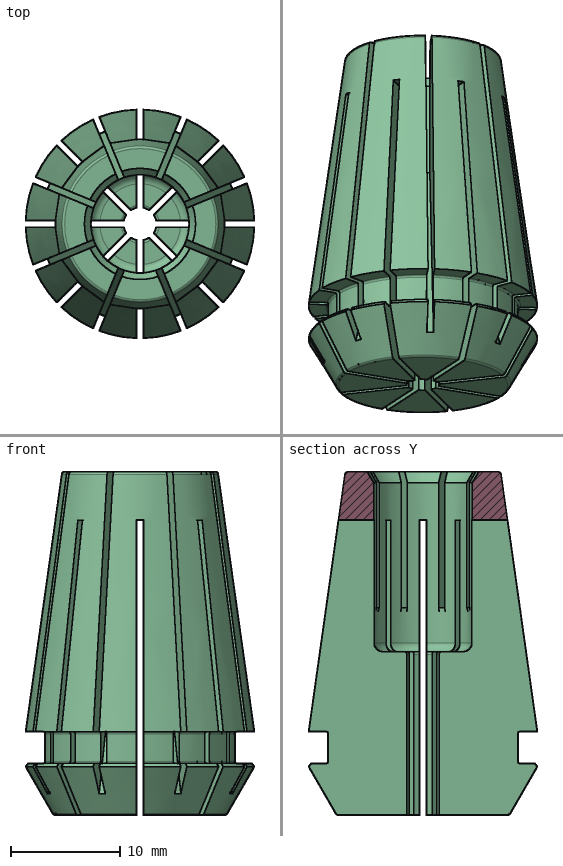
import cadquery as cq
import math

height = 31.5
max_radius = 10.5
taper_angle = 8.0

nose_angle = 30.0
nose_edge_z = 4.45
nose_chamfer_width = 0.25
nose_chamfer_height = 0.3
groove_top_z = 7.65
groove_radius = 8.72
groove_fillet = 0.2
nose_fillet = 0.3
rim_fillet = 0.25

clamp_radius = 1.5
clamp_edge_fillet = 0.25
bore_radius = 4.5
bore_floor_z = 15.0
bore_floor_fillet = 0.8
bore_mouth_radius = 5.1
bore_mouth_depth = 1.0

slot_width = 0.6
slots_per_set = 8
slot_pitch = 360.0 / slots_per_set
nose_slot_top_z = 27.05
rim_slot_bottom_z = 1.95
rim_slot_start_radius = 9.07
rim_slot_floor_angle = 15.0


def revolve_profile(points):
    """Solid of revolution about Z from (radius, z) points."""
    return cq.Workplane("XZ").polyline(points).close().revolve(360, (0, 0, 0), (0, 1, 0))


def make_body():
    """Outer form: nose cone, groove and long taper, with rounded edges."""
    nose_radius = max_radius - nose_edge_z * math.tan(math.radians(nose_angle))
    nose_top_z = nose_edge_z + nose_chamfer_height
    rim_radius = max_radius - (height - groove_top_z) * math.tan(math.radians(taper_angle))
    body = revolve_profile([
        (0, 0),
        (nose_radius, 0),
        (max_radius, nose_edge_z),
        (max_radius - nose_chamfer_width, nose_top_z),
        (groove_radius, nose_top_z),
        (groove_radius, groove_top_z),
        (max_radius, groove_top_z),
        (rim_radius, height),
        (0, height),
    ])
    body = body.faces(">Z").edges().fillet(rim_fillet)
    body = body.faces("<Z").edges().fillet(nose_fillet)
    groove_box = cq.selectors.BoxSelector(
        (-max_radius, -max_radius, nose_top_z - groove_fillet),
        (max_radius, max_radius, groove_top_z + groove_fillet),
    )
    smallest_radius = cq.selectors.RadiusNthSelector(0)
    groove_roots = body.edges(groove_box).edges("%CIRCLE").edges(smallest_radius)
    return groove_roots.fillet(groove_fillet)


def make_bore():
    """Stepped through bore with a chamfered mouth and rounded floor edges."""
    arc_mid_inset = 1 - math.sqrt(0.5)
    edge_mid = clamp_edge_fillet * arc_mid_inset
    corner_mid = bore_floor_fillet * arc_mid_inset
    profile = (
        cq.Workplane("XZ")
        .moveTo(0, 0)
        .lineTo(clamp_radius, 0)
        .lineTo(clamp_radius, bore_floor_z - clamp_edge_fillet)
        .threePointArc(
            (clamp_radius + edge_mid, bore_floor_z - edge_mid),
            (clamp_radius + clamp_edge_fillet, bore_floor_z),
        )
        .lineTo(bore_radius - bore_floor_fillet, bore_floor_z)
        .threePointArc(
            (bore_radius - corner_mid, bore_floor_z + corner_mid),
            (bore_radius, bore_floor_z + bore_floor_fillet),
        )
        .lineTo(bore_radius, height - bore_mouth_depth)
        .lineTo(bore_mouth_radius, height)
        .lineTo(0, height)
        .close()
    )
    return profile.revolve(360, (0, 0, 0), (0, 1, 0))


def make_slot(points):
    """Slot cutter: a (radius, z) outline widened evenly about the XZ plane."""
    return cq.Workplane("XZ").polyline(points).close().extrude(slot_width / 2, both=True)


def cut_slot_set(body, slot, first_angle):
    """Cut one evenly spaced set of slots around the axis."""
    for index in range(slots_per_set):
        angle = first_angle + index * slot_pitch
        body = body.cut(slot.rotate((0, 0, 0), (0, 0, 1), angle))
    return body


def make_nose_slot():
    """Slot open at the nose, reaching from the axis through the wall."""
    reach = max_radius + slot_width
    return make_slot([(0, 0), (reach, 0), (reach, nose_slot_top_z), (0, nose_slot_top_z)])


def make_rim_slot():
    """Slot open at the rim whose sloped floor runs from the nose cone in to the bore."""
    reach = max_radius + slot_width
    inner_radius = bore_radius - slot_width
    floor_run = rim_slot_start_radius - inner_radius
    floor_end_z = rim_slot_bottom_z + floor_run / math.tan(math.radians(rim_slot_floor_angle))
    return make_slot([
        (rim_slot_start_radius, rim_slot_bottom_z),
        (reach, rim_slot_bottom_z),
        (reach, height),
        (inner_radius, height),
        (inner_radius, floor_end_z),
    ])


result = make_body().cut(make_bore())
result = cut_slot_set(result, make_nose_slot(), 0)
result = cut_slot_set(result, make_rim_slot(), slot_pitch / 2)